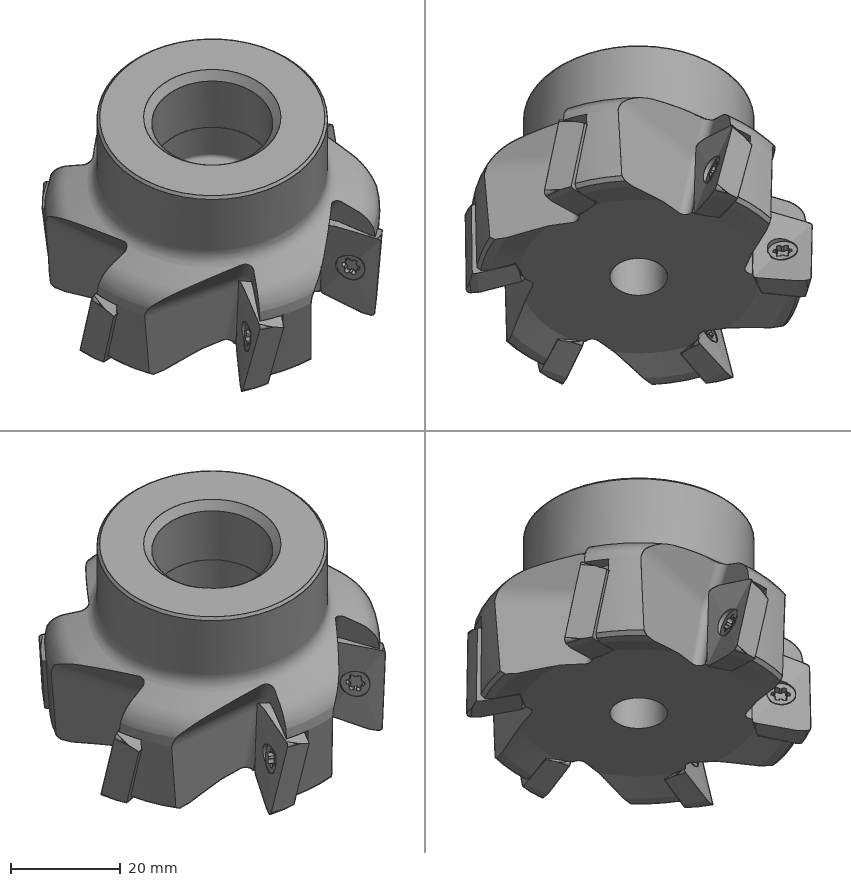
import cadquery as cq
import math

TEETH = 6
RAKE = 12.0
RAKE_SLOPE = math.tan(math.radians(RAKE))

TOP_Z = 39.99
BOTTOM_Z = 0.9
HUB_R = 21.0
HUB_CHAMFER = 0.5
HUB_BASE_Z = 26.5
NECK_R, NECK_Z = 22.7, 23.8
SHOULDER_R, SHOULDER_Z = 26.9, 22.0
SHOULDER_ROUND_R = 6.2
NECK_ROUND_R = 3.0
RIM_R, RIM_Z = 30.52, 16.65
CROWN_R, CROWN_Z = 30.2, 18.6
RIM_FOOT_R = 29.7
FOOT_CHAMFER = 0.7
DISH_R, DISH_FLOOR_R = 27.2, 21.8
DISH_FLOOR_Z = 2.3

BORE_D = 22.01
BORE_MOUTH_D = 25.0
RELIEF_D = 22.5
RELIEF_DEPTH = 13.2
BORE_DEPTH = 21.0
FLOOR_FILLET = 0.7
BOLT_D = 10.5

WALL_TAIL = (25.2, -16.4)
WALL_ROOT = (19.3, -1.0)
WALL_HINGE_Z = 16.4
WALL_HINGE_RISE = 1.5
WALL_LEAN = 28.0
WALL_BLEND_R = 6.5
ROOT_R = 1.5
ROOT_ZONE_LOW = (15, -3, -4)
ROOT_ZONE_HIGH = (29, 5, 29)
GULLET_REACH = 40.0
GULLET_TOP = 30.0
GULLET_BOTTOM = -10.0

INSERT_U, INSERT_Z = 26.1, 9.0
INSERT_HALF_W = 31.47 - INSERT_U
INSERT_HALF_H = INSERT_Z / math.cos(math.radians(RAKE))
INSERT_SLANT = 1.8
WIPER_LENGTH = 1.6
NOSE_R = 0.85
CORNER_R = 0.8
INSERT_THICK = 4.9
FLANK_TAPER = 16.0
INNER_TOP_RISE = 2.6
INNER_BOTTOM_RISE = -0.4
ENVELOPE_SCALE = 1.2
NOTCH_U = 27.5
NOTCH_BOTTOM_Z = 14.0
NOTCH_FRONT_V, NOTCH_BACK_V = 3.0, 8.0
FACE_ALLOWANCE = 4.0
SCREW_SEAT_D = 5.45
SCREW_SEAT_Z = -0.2
SOCKET_D = 3.5
SOCKET_LOBES = 6
SOCKET_LOBE_D = 0.9
SOCKET_DEPTH = 1.2


def around(shape, index):
    return shape.rotate((0, 0, 0), (0, 0, 1), index * 360.0 / TEETH)


def make_blank():
    """Turned body before the teeth are milled."""
    floor_z = TOP_Z - BORE_DEPTH
    mouth = (BORE_MOUTH_D - BORE_D) / 2
    return (
        cq.Workplane("XZ")
        .moveTo(BOLT_D / 2, DISH_FLOOR_Z)
        .lineTo(DISH_FLOOR_R, DISH_FLOOR_Z)
        .lineTo(DISH_R, BOTTOM_Z)
        .lineTo(RIM_FOOT_R - FOOT_CHAMFER, BOTTOM_Z)
        .lineTo(RIM_FOOT_R, BOTTOM_Z + FOOT_CHAMFER)
        .lineTo(RIM_R, RIM_Z)
        .lineTo(CROWN_R, CROWN_Z)
        .radiusArc((SHOULDER_R, SHOULDER_Z), -SHOULDER_ROUND_R)
        .lineTo(NECK_R, NECK_Z)
        .radiusArc((HUB_R, HUB_BASE_Z), NECK_ROUND_R)
        .lineTo(HUB_R, TOP_Z - HUB_CHAMFER)
        .lineTo(HUB_R - HUB_CHAMFER, TOP_Z)
        .lineTo(BORE_MOUTH_D / 2, TOP_Z)
        .lineTo(BORE_D / 2, TOP_Z - mouth)
        .lineTo(BORE_D / 2, TOP_Z - RELIEF_DEPTH)
        .lineTo(RELIEF_D / 2, TOP_Z - RELIEF_DEPTH)
        .lineTo(RELIEF_D / 2, floor_z + FLOOR_FILLET)
        .radiusArc((RELIEF_D / 2 - FLOOR_FILLET, floor_z), FLOOR_FILLET)
        .lineTo(BOLT_D / 2, floor_z)
        .close()
        .revolve(360, (0, 0, 0), (0, 1, 0))
    )


def make_gullet():
    """Cutting tool bounded by the flat wall that leans out near its top and by the tooth face."""
    run_u = WALL_TAIL[0] - WALL_ROOT[0]
    run_v = WALL_TAIL[1] - WALL_ROOT[1]
    along = cq.Vector(run_u, run_v, WALL_HINGE_RISE)
    outward = cq.Vector(-run_v, run_u, 0)
    lean = math.tan(math.radians(WALL_LEAN)) * (GULLET_TOP - WALL_HINGE_Z)
    wall_side = (
        cq.Workplane(cq.Plane((*WALL_ROOT, 0), outward, along))
        .moveTo(0, GULLET_BOTTOM)
        .lineTo(0, WALL_HINGE_Z)
        .lineTo(lean, GULLET_TOP)
        .lineTo(GULLET_REACH, GULLET_TOP)
        .lineTo(GULLET_REACH, GULLET_BOTTOM)
        .close()
        .extrude(GULLET_REACH, both=True)
    )
    hinge = cq.selectors.NearestToPointSelector((*WALL_ROOT, WALL_HINGE_Z))
    wall_side = wall_side.edges(hinge).fillet(WALL_BLEND_R)
    face_top = RIM_Z * RAKE_SLOPE
    face_side = (
        cq.Workplane("YZ")
        .moveTo(-GULLET_REACH, GULLET_BOTTOM)
        .lineTo(GULLET_BOTTOM * RAKE_SLOPE, GULLET_BOTTOM)
        .lineTo(face_top, RIM_Z)
        .lineTo(face_top, GULLET_TOP)
        .lineTo(-GULLET_REACH, GULLET_TOP)
        .close()
        .extrude(GULLET_REACH)
    )
    gullet = wall_side.intersect(face_side)
    root = cq.selectors.BoxSelector(ROOT_ZONE_LOW, ROOT_ZONE_HIGH)
    return gullet.edges(root).fillet(ROOT_R)


def polyhedron(faces):
    sides = [cq.Face.makeFromWires(cq.Wire.makePolygon(points, close=True)) for points in faces]
    return cq.Workplane(cq.Solid.makeSolid(cq.Shell.makeShell(sides)))


def make_face_envelope():
    """Block with a flat back, whose front is four facets meeting at the screw axis."""
    w = INSERT_HALF_W * ENVELOPE_SCALE
    h = INSERT_HALF_H * ENVELOPE_SCALE
    low = h - INSERT_SLANT * ENVELOPE_SCALE
    outline = [(w, -h), (w, low), (-w, h), (-w, -low)]
    rises = [0, 0, INNER_TOP_RISE * ENVELOPE_SCALE, INNER_BOTTOM_RISE * ENVELOPE_SCALE]
    front = [cq.Vector(x, y, rise) for (x, y), rise in zip(outline, rises)]
    back = [cq.Vector(x, y, -INSERT_THICK * ENVELOPE_SCALE) for x, y in outline]
    centre = cq.Vector(0, 0, 0)
    faces = [back]
    for i in range(len(outline)):
        j = (i + 1) % len(outline)
        faces.append([front[i], front[j], centre])
        faces.append([back[i], back[j], front[j], front[i]])
    return polyhedron(faces)


def make_insert_outline():
    """Closed outline with half-turn symmetry about the screw axis."""
    w = INSERT_HALF_W
    h = INSERT_HALF_H
    wiper_x = w - NOSE_R - WIPER_LENGTH
    slant = math.atan2(INSERT_SLANT, w + wiper_x)
    turn = math.pi / 2 - slant
    setback = CORNER_R * math.tan(turn / 2)
    corner_start = (w, h - INSERT_SLANT - setback)
    corner_end = (w - setback * math.cos(slant), h - INSERT_SLANT + setback * math.sin(slant))
    outline = cq.Workplane("XY").moveTo(w, 0)
    for side in (1, -1):
        outline = (
            outline
            .lineTo(side * corner_start[0], side * corner_start[1])
            .radiusArc((side * corner_end[0], side * corner_end[1]), -CORNER_R)
            .lineTo(-side * wiper_x, side * h)
            .lineTo(-side * (w - NOSE_R), side * h)
            .radiusArc((-side * w, side * (h - NOSE_R)), -NOSE_R)
            .lineTo(-side * w, 0)
        )
    return outline.close()


def make_insert_blank():
    """Tapered insert with straight stock standing in front of it."""
    flank = make_insert_outline().extrude(-INSERT_THICK, taper=FLANK_TAPER)
    return flank.union(make_insert_outline().extrude(FACE_ALLOWANCE))


def make_insert():
    insert = make_insert_blank().intersect(make_face_envelope())
    screw_plane = cq.Workplane("XY").workplane(offset=SCREW_SEAT_Z)
    seat = screw_plane.circle(SCREW_SEAT_D / 2).extrude(FACE_ALLOWANCE)
    lobe_circle_r = (SOCKET_D - SOCKET_LOBE_D) / 2
    socket = screw_plane.circle(lobe_circle_r).extrude(-SOCKET_DEPTH)
    lobes = (
        screw_plane
        .polarArray(lobe_circle_r, 0, 360, SOCKET_LOBES)
        .circle(SOCKET_LOBE_D / 2)
        .extrude(-SOCKET_DEPTH)
    )
    return insert.cut(seat).cut(socket.union(lobes))


def place_on_tooth(shape):
    """Stand the insert up on the raked face of the tooth at 0 degrees."""
    return (
        shape
        .rotate((0, 0, 0), (1, 0, 0), 90 - RAKE)
        .translate((INSERT_U, INSERT_Z * RAKE_SLOPE, INSERT_Z))
    )


def make_pocket():
    """Seat of the insert, open to the front, with a notch above its outer corner."""
    notch = (
        cq.Workplane("XY")
        .workplane(offset=NOTCH_BOTTOM_Z)
        .moveTo(NOTCH_U, NOTCH_FRONT_V)
        .lineTo(GULLET_REACH, NOTCH_FRONT_V)
        .lineTo(GULLET_REACH, NOTCH_BACK_V)
        .lineTo(NOTCH_U, NOTCH_BACK_V)
        .close()
        .extrude(RIM_Z - NOTCH_BOTTOM_Z)
    )
    return place_on_tooth(make_insert_blank()).union(notch)


insert = place_on_tooth(make_insert())
pocket = make_pocket()
gullet = make_gullet()
body = make_blank()
for i in range(TEETH):
    body = body.cut(around(gullet, i)).cut(around(pocket, i))
inserts = [around(insert, i) for i in range(TEETH)]

result = cq.Compound.makeCompound([body.val(), *[tooth_insert.val() for tooth_insert in inserts]])